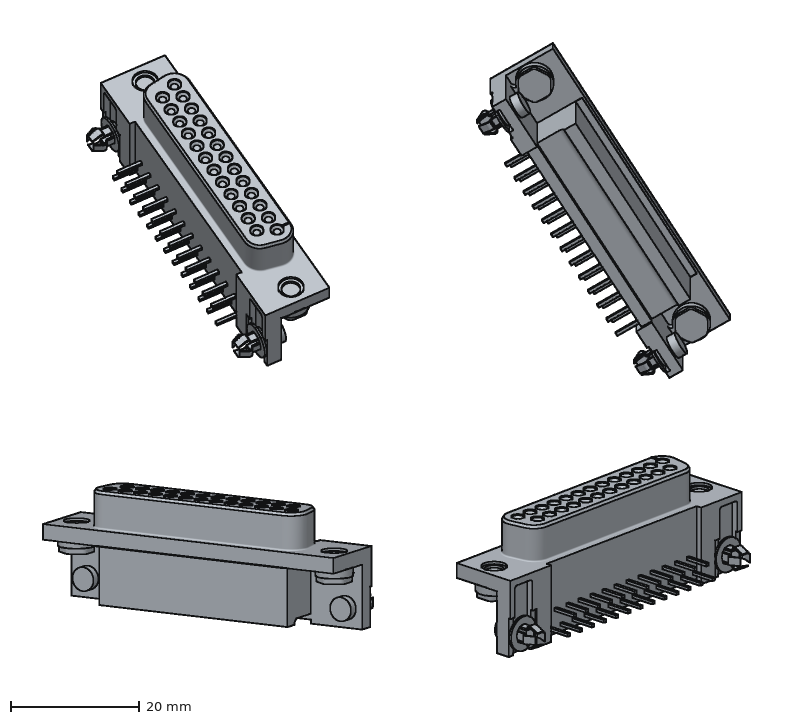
import cadquery as cq
import math


length = 53.1
overall_depth = 15.0
flange_depth = 11.45
flange_top = 12.85
flange_bottom = 10.35
bracket_thickness = 2.85
bracket_width = 9.35
bracket_inner_x = length / 2 - bracket_width

body_front = 0.95
body_back = 9.95
body_bottom = 0.65
ledge_back = 11.1
ledge_bottom = 10.2
foot_front = 7.8
channel_roof = 1.6
channel_radius = channel_roof - body_bottom

shell_top = 18.85
shell_center_y = 6.2
shell_half_depth = 4.05
shell_half_width = 19.1
shell_corner_radius = 2.7
shell_side_angle = math.radians(10)
rim_drop = 0.5
rim_inset = 0.3
shell_flare = 0.25

pitch = 2.75
row_gap = 2.85
back_row_count = 13
front_row_count = 12
contact_mouth_radius = 1.05
contact_mouth_depth = 0.2
contact_throat_radius = 1.0
contact_end_radius = 0.6
contact_depth = 0.65
pin_width = 0.6
pin_height = 0.5
pin_tip = -3.25
lower_pin_z = 1.85
upper_pin_z = 4.7
pin_root = 0.55

mark_x = 16.4
mark_width = 0.15
mark_height = 0.15
mark_front = 8.7
mark_back = 9.75

fixing_x = 23.5
seat_y = 6.25
seat_radius = 2.0
seat_step = 0.4
screw_radius = 1.5
screw_depth = 0.85
boss_radius = 2.95
boss_bottom = 8.9
boss_web_width = 1.9
boss_web_flare = 0.65
nut_corner_radius = 2.9
nut_edge_radius = 0.9
nut_bottom = 7.95

slot_width = 4.05
slot_top = 11.7
slot_depth = 1.1
slot_corner_radius = 0.55
pocket_width = 6.1
pocket_top = 6.4
pocket_depth = 0.35

clip_z = 3.2
clip_disc_radius = 2.85
clip_barrel_radius = 1.9
clip_barrel_end = 4.35
clip_bore_radius = 1.55
leg_width = 1.4
leg_thickness = 0.3
leg_offset = 1.35
leg_bend = 1.3
knuckle_offset = 1.75
knuckle_start = 1.55
knuckle_end = 2.4
knuckle_peak_offset = 1.9
leg_tip_offset = 1.15
leg_tip = flange_depth - overall_depth


def block(x0, x1, y0, y1, z0, z1):
    """Box between two opposite corners."""
    return cq.Workplane("XY").box(x1 - x0, y1 - y0, z1 - z0, centered=False).translate((x0, y0, z0))


def rod(x, z, radius, y0, y1):
    """Cylinder along Y."""
    return cq.Workplane("XZ", origin=(x, y0, z)).circle(radius).extrude(y0 - y1)


def row_positions(count):
    """X positions of one row of contacts, centred on the connector."""
    return [(i - (count - 1) / 2) * pitch for i in range(count)]


def make_housing():
    """Flange, L-shaped brackets and central body with its underside channel."""
    housing = block(-length / 2, length / 2, 0, flange_depth, flange_bottom, flange_top)
    housing = housing.union(block(-length / 2, length / 2, 0, bracket_thickness, 0, flange_top))
    front_gap = block(-bracket_inner_x, bracket_inner_x, 0, body_front, 0, flange_top)
    foot_gap = block(-bracket_inner_x, bracket_inner_x, 0, bracket_thickness, 0, body_bottom)
    housing = housing.cut(front_gap).cut(foot_gap)

    body = (
        cq.Workplane("YZ", origin=(-bracket_inner_x, 0, 0))
        .moveTo(bracket_thickness, channel_roof)
        .lineTo(foot_front - channel_radius, channel_roof)
        .radiusArc((foot_front, body_bottom), channel_radius)
        .lineTo(body_back, body_bottom)
        .lineTo(body_back, ledge_bottom)
        .lineTo(ledge_back, ledge_bottom)
        .lineTo(ledge_back, flange_bottom)
        .lineTo(bracket_thickness, flange_bottom)
        .close()
        .extrude(2 * bracket_inner_x)
    )
    return housing.union(body)


def make_shell():
    """Plug shell: rounded trapezoid with a bevelled rim."""
    back = shell_center_y + shell_half_depth
    front = shell_center_y - shell_half_depth
    corner_growth = (1 + math.sin(shell_side_angle)) / math.cos(shell_side_angle) - 1
    back_x = shell_half_width + shell_corner_radius * corner_growth
    front_x = back_x - 2 * shell_half_depth * math.tan(shell_side_angle)
    outline = [(-back_x, back), (back_x, back), (front_x, front), (-front_x, front)]
    shell = (
        cq.Workplane("XY", origin=(0, 0, flange_top))
        .polyline(outline)
        .close()
        .extrude(shell_top - flange_top)
        .edges("|Z")
        .fillet(shell_corner_radius)
    )
    return shell.faces(">Z").edges().chamfer(rim_drop, rim_inset)


def contact_hole(x, y):
    """Short straight mouth leading into a blind taper."""
    top = cq.Workplane("XY", origin=(x, y, shell_top))
    mouth = top.circle(contact_mouth_radius).extrude(-contact_mouth_depth)
    taper = cq.Solid.makeCone(
        contact_end_radius,
        contact_throat_radius,
        contact_depth - contact_mouth_depth,
        pnt=cq.Vector(x, y, shell_top - contact_depth),
    )
    return mouth.union(cq.Workplane(taper))


def solder_pin(x, z):
    """Rectangular pin leaving the front of the body."""
    side = pin_width / 2
    half_height = pin_height / 2
    return block(x - side, x + side, pin_tip, body_front + pin_root, z - half_height, z + half_height)


def make_boss(x):
    """Boss under the flange, tied to the bracket, with a hexagonal nut below."""
    boss_height = flange_bottom - boss_bottom
    boss = cq.Workplane("XY", origin=(x, seat_y, boss_bottom)).circle(boss_radius).extrude(boss_height)
    web_side = boss_web_width / 2
    flare_side = web_side + boss_web_flare
    flare_back = bracket_thickness + boss_web_flare
    web = (
        cq.Workplane("XY", origin=(x, 0, boss_bottom))
        .moveTo(-flare_side, bracket_thickness)
        .radiusArc((-web_side, flare_back), -boss_web_flare)
        .lineTo(-web_side, seat_y)
        .lineTo(web_side, seat_y)
        .lineTo(web_side, flare_back)
        .radiusArc((flare_side, bracket_thickness), -boss_web_flare)
        .close()
        .extrude(boss_height)
    )
    nut = (
        cq.Workplane("XY")
        .polygon(6, 2 * nut_corner_radius)
        .extrude(boss_bottom - nut_bottom)
        .edges("|Z")
        .fillet(nut_edge_radius)
        .rotate((0, 0, 0), (0, 0, 1), 90)
        .translate((x, seat_y, nut_bottom))
    )
    return boss.union(web).union(nut)


def screw_seat(x):
    """Stepped blind hole in the flange top."""
    top = cq.Workplane("XY", origin=(x, seat_y, flange_top))
    return top.circle(seat_radius).extrude(-seat_step).union(top.circle(screw_radius).extrude(-screw_depth))


def bracket_recess(x):
    """Tall slot behind the clip and the shallow pocket that takes the clip disc."""
    slot = block(x - slot_width / 2, x + slot_width / 2, 0, slot_depth, 0, slot_top)
    slot = slot.edges("|Y and >Z").fillet(slot_corner_radius)
    outer = math.copysign(length / 2, x)
    inner = math.copysign(length / 2 - pocket_width, x)
    pocket = block(min(outer, inner), max(outer, inner), 0, pocket_depth, 0, pocket_top)
    return slot.union(pocket)


def clip_leg(x, angle):
    """One springy leg, bent outward to a barb and back in to its tip."""
    knuckle_peak = (knuckle_start + knuckle_end) / 2
    inner_offset = leg_offset - leg_thickness
    inner_knuckle_offset = knuckle_offset - leg_thickness
    inner_peak_offset = knuckle_peak_offset - leg_thickness
    leg = (
        cq.Workplane("XY")
        .moveTo(leg_offset, pocket_depth)
        .lineTo(leg_offset, -leg_bend)
        .lineTo(knuckle_offset, -knuckle_start)
        .threePointArc((knuckle_peak_offset, -knuckle_peak), (knuckle_offset, -knuckle_end))
        .lineTo(leg_tip_offset, leg_tip)
        .lineTo(inner_offset, leg_tip)
        .lineTo(inner_knuckle_offset, -knuckle_end)
        .threePointArc((inner_peak_offset, -knuckle_peak), (inner_knuckle_offset, -knuckle_start))
        .lineTo(inner_offset, -leg_bend)
        .lineTo(inner_offset, pocket_depth)
        .close()
        .extrude(leg_width / 2, both=True)
    )
    return leg.rotate((0, 0, 0), (0, 1, 0), angle).translate((x, 0, clip_z))


def make_clip(x):
    """Disc and barrel set in the bracket, with four legs rising from a shallow bore."""
    clip = rod(x, clip_z, clip_disc_radius, 0, pocket_depth)
    clip = clip.union(rod(x, clip_z, clip_barrel_radius, 0, clip_barrel_end))
    clip = clip.cut(rod(x, clip_z, clip_bore_radius, 0, pocket_depth))
    for angle in (0, 90, 180, 270):
        clip = clip.union(clip_leg(x, angle))
    return clip


select_margin = 0.55
shell_base = cq.selectors.BoxSelector(
    (-shell_half_width - select_margin, body_front + select_margin, flange_top - select_margin),
    (shell_half_width + select_margin, flange_depth - select_margin, flange_top + select_margin),
    boundingbox=True,
)
result = make_housing().union(make_shell()).edges(shell_base).fillet(shell_flare)

mark_left = mark_x - mark_width / 2
mark_right = mark_x + mark_width / 2
mark_top = shell_top + mark_height
result = result.union(block(mark_left, mark_right, mark_front, mark_back, flange_top, mark_top))

for x in row_positions(back_row_count):
    result = result.cut(contact_hole(x, shell_center_y + row_gap / 2))
    result = result.union(solder_pin(x, lower_pin_z))
for x in row_positions(front_row_count):
    result = result.cut(contact_hole(x, shell_center_y - row_gap / 2))
    result = result.union(solder_pin(x, upper_pin_z))

for x in (-fixing_x, fixing_x):
    result = result.union(make_boss(x))
    result = result.cut(screw_seat(x)).cut(bracket_recess(x))
    result = result.union(make_clip(x))